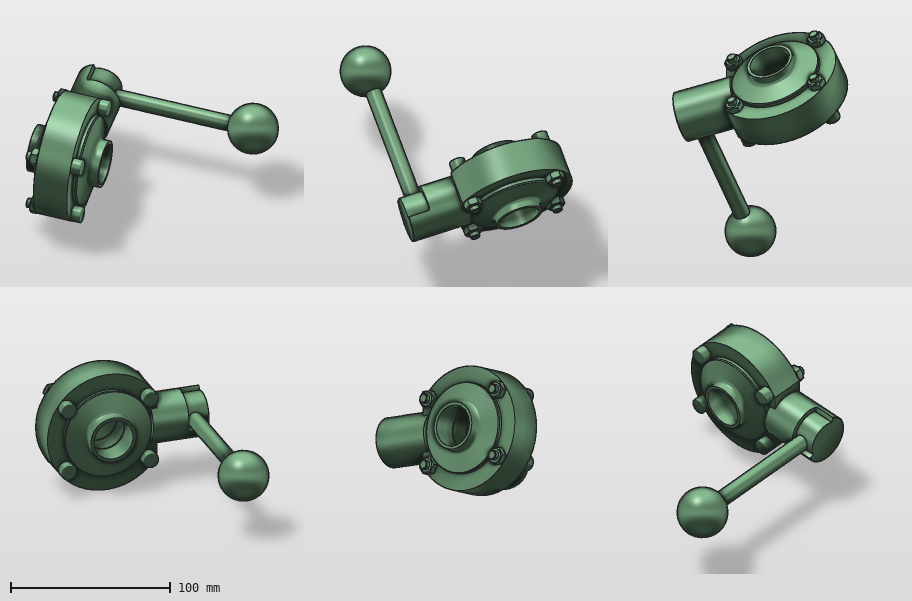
import cadquery as cq
import math


FLANGE_DIAMETER = 79.1
FLANGE_HALF_WIDTH = 11.0
FLANGE_FLAT_Y = 33.4
PIPE_HALF_LENGTH = 23.5
PIPE_DIAMETER = 30.0
BORE_DIAMETER = 26.0
GROOVE_DIAMETER = 26.6
GROOVE_X = 6.7
GROOVE_WIDTH = 0.4
COLLAR_DIAMETER = 58.0
COLLAR_HEIGHT = 2.1
COLLAR_BEVEL_RADIAL = 0.4
COLLAR_BEVEL_AXIAL = 0.8
CONE_ANGLE = 15.0
NECK_RADIUS = 3.0

HOUSING_DIAMETER = 32.0
HOUSING_BOTTOM_Y = 29.3
HOUSING_TOP_Y = 67.5
HOUSING_CHAMFER = 0.4
HUB_DIAMETER = 25.5
NOTCH_BOTTOM_Y = 53.0
NOTCH_CORNER_RADIUS = 1.7
LEVER_TRAVEL = 90.0
NOTCH_CLEARANCE = 22.5
ROD_DIAMETER = 10.0
LEVER_Y = 58.3
BALL_DIAMETER = 32.0
LEVER_REACH_X = 118.0
BALL_X = LEVER_REACH_X - BALL_DIAMETER / 2

BOLT_Y = 27.3
BOLT_Z = 21.1
SHANK_DIAMETER = 6.0
SHANK_CHAMFER = 0.4
TIP_LENGTH = 3.0
NUT_ACROSS_FLATS = 10.0
NUT_THICKNESS = 5.0
NUT_FACE_DIAMETER = 9.0
NUT_BEVEL_ANGLE = 30.0
HEAD_DIAMETER = 10.0
HEAD_LENGTH = 6.4
HEAD_FILLET = 0.5


def axial_cylinder(diameter, x_start, x_end, y=0.0, z=0.0):
    """Cylinder along X between two X positions."""
    start = cq.Vector(x_start, y, z)
    return cq.Workplane(cq.Solid.makeCylinder(diameter / 2, x_end - x_start, start, cq.Vector(1, 0, 0)))


def stem_cylinder(diameter, y_start, y_end):
    """Cylinder along the Y stem axis between two Y positions."""
    start = cq.Vector(0, y_start, 0)
    return cq.Workplane(cq.Solid.makeCylinder(diameter / 2, y_end - y_start, start, cq.Vector(0, 1, 0)))


def weld_end():
    """Solid collar, cone and pipe stub on the +X side of the centre plane."""
    slope = math.radians(CONE_ANGLE)
    collar_r = COLLAR_DIAMETER / 2
    pipe_r = PIPE_DIAMETER / 2
    cone_r = collar_r - COLLAR_BEVEL_RADIAL
    collar_x = FLANGE_HALF_WIDTH + COLLAR_HEIGHT
    cone_x = collar_x + COLLAR_BEVEL_AXIAL

    foot_r = pipe_r + NECK_RADIUS * (1 - math.sin(slope))
    foot_x = cone_x + (cone_r - foot_r) * math.tan(slope)
    centre_x = foot_x + NECK_RADIUS * math.cos(slope)
    centre_r = pipe_r + NECK_RADIUS
    mid_angle = (math.pi + slope + 3 * math.pi / 2) / 2
    arc_mid = (centre_x + NECK_RADIUS * math.cos(mid_angle), centre_r + NECK_RADIUS * math.sin(mid_angle))

    profile = (
        cq.Workplane("XY")
        .moveTo(0, 0)
        .lineTo(0, collar_r)
        .lineTo(collar_x, collar_r)
        .lineTo(cone_x, cone_r)
        .lineTo(foot_x, foot_r)
        .threePointArc(arc_mid, (centre_x, pipe_r))
        .lineTo(PIPE_HALF_LENGTH, pipe_r)
        .lineTo(PIPE_HALF_LENGTH, 0)
        .close()
    )
    return profile.revolve(360, (0, 0, 0), (1, 0, 0))


def flange():
    """Flange disc with the flat on its +Y side."""
    disc = axial_cylinder(FLANGE_DIAMETER, -FLANGE_HALF_WIDTH, FLANGE_HALF_WIDTH)
    beyond_flat = cq.Workplane("XY").box(FLANGE_DIAMETER, FLANGE_DIAMETER, FLANGE_DIAMETER)
    beyond_flat = beyond_flat.translate((0, FLANGE_FLAT_Y + FLANGE_DIAMETER / 2, 0))
    return disc.cut(beyond_flat)


def lever_notch():
    """Sector-shaped space in the housing wall in which the lever swings."""
    sweep = LEVER_TRAVEL + 2 * NOTCH_CLEARANCE
    depth = HOUSING_TOP_Y - NOTCH_BOTTOM_Y
    reach = HOUSING_DIAMETER

    def ray(angle):
        return reach * math.cos(math.radians(angle)), reach * math.sin(math.radians(angle))

    plane = cq.Plane(origin=(0, NOTCH_BOTTOM_Y, 0), xDir=(1, 0, 0), normal=(0, -1, 0))
    sector = (
        cq.Workplane(plane)
        .lineTo(*ray(-NOTCH_CLEARANCE))
        .threePointArc(ray(sweep / 2 - NOTCH_CLEARANCE), ray(sweep - NOTCH_CLEARANCE))
        .close()
        .extrude(-depth)
    )
    sector = sector.faces("<Y").edges("%LINE").fillet(NOTCH_CORNER_RADIUS)
    return sector.cut(stem_cylinder(HUB_DIAMETER, NOTCH_BOTTOM_Y, HOUSING_TOP_Y))


def stem_housing():
    """Cylindrical housing straddling the flange, notched for the lever."""
    housing = stem_cylinder(HOUSING_DIAMETER, HOUSING_BOTTOM_Y, HOUSING_TOP_Y)
    housing = housing.faces(">Y").chamfer(HOUSING_CHAMFER)
    return housing.cut(lever_notch())


def lever():
    """Lever rod from the hub, with its ball knob."""
    rod = axial_cylinder(ROD_DIAMETER, 0, BALL_X, y=LEVER_Y)
    ball = cq.Workplane("XY").sphere(BALL_DIAMETER / 2).rotate((0, 0, 0), (0, 1, 0), 90)
    ball = ball.translate((BALL_X, LEVER_Y, 0))
    return rod.union(ball)


def bore():
    """Through bore with its two fine grooves."""
    passage = axial_cylinder(BORE_DIAMETER, -PIPE_HALF_LENGTH, PIPE_HALF_LENGTH)
    groove = axial_cylinder(GROOVE_DIAMETER, GROOVE_X, GROOVE_X + GROOVE_WIDTH)
    return passage.union(groove).union(groove.mirror("YZ"))


def valve_body(bolt_positions):
    """Flange pair, weld ends, stem housing and lever as one solid with bolt holes."""
    end = weld_end()
    body = flange().union(end).union(end.mirror("YZ"))
    body = body.union(stem_housing()).union(lever()).cut(bore())
    for y, z in bolt_positions:
        body = body.cut(axial_cylinder(SHANK_DIAMETER, -FLANGE_HALF_WIDTH, FLANGE_HALF_WIDTH, y, z))
    return body


def nut():
    """Hexagon nut on the -X flange face, both ends bevelled."""
    corner_r = NUT_ACROSS_FLATS / math.sqrt(3)
    face_r = NUT_FACE_DIAMETER / 2
    bevel = (corner_r - face_r) * math.tan(math.radians(NUT_BEVEL_ANGLE))
    outer_x = -FLANGE_HALF_WIDTH - NUT_THICKNESS
    hexagon = (
        cq.Workplane("YZ", origin=(outer_x, 0, 0))
        .polygon(6, 2 * corner_r)
        .extrude(NUT_THICKNESS)
    )
    envelope = (
        cq.Workplane("XY")
        .moveTo(outer_x, 0)
        .lineTo(outer_x, face_r)
        .lineTo(outer_x + bevel, corner_r)
        .lineTo(-FLANGE_HALF_WIDTH - bevel, corner_r)
        .lineTo(-FLANGE_HALF_WIDTH, face_r)
        .lineTo(-FLANGE_HALF_WIDTH, 0)
        .close()
        .revolve(360, (0, 0, 0), (1, 0, 0))
    )
    return hexagon.intersect(envelope)


def bolt(y, z):
    """Cylinder-head bolt with its nut, through the flange at (y, z)."""
    tip_x = -FLANGE_HALF_WIDTH - NUT_THICKNESS - TIP_LENGTH
    shank = axial_cylinder(SHANK_DIAMETER, tip_x, FLANGE_HALF_WIDTH)
    shank = shank.faces("<X").chamfer(SHANK_CHAMFER)
    head = axial_cylinder(HEAD_DIAMETER, FLANGE_HALF_WIDTH, FLANGE_HALF_WIDTH + HEAD_LENGTH)
    head = head.faces(">X").edges().fillet(HEAD_FILLET)
    return shank.union(head).union(nut()).translate((0, y, z))


bolt_positions = [(side_y * BOLT_Y, side_z * BOLT_Z) for side_y in (-1, 1) for side_z in (-1, 1)]

body = valve_body(bolt_positions)
bolts = [bolt(y, z).val() for y, z in bolt_positions]

result = cq.Compound.makeCompound([body.val(), *bolts])